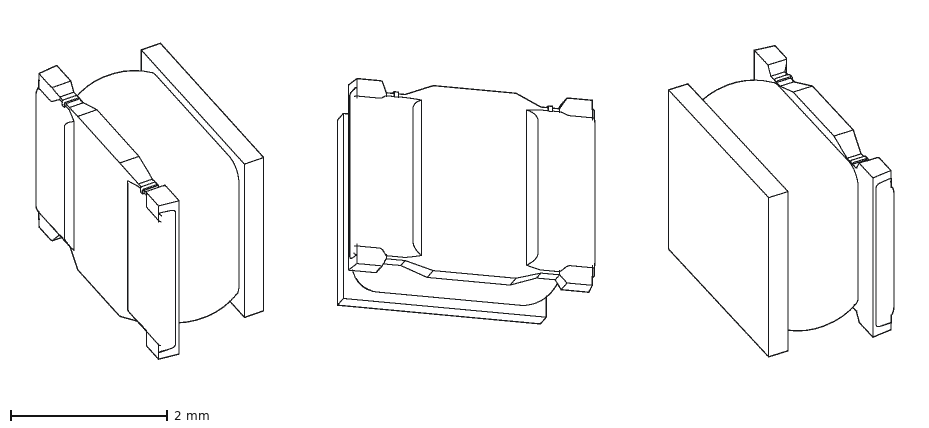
import cadquery as cq
import math

length = 3.2
height = 2.5
core_depth = 1.66
plate_thickness = 0.28
rear_width = 2.7

half_length = length / 2
half_height = height / 2
front_y = -core_depth / 2
front_inner_y = front_y + plate_thickness
rear_inner_y = core_depth / 2 - plate_thickness

winding_corner = 0.4
winding_bulge_radius = 1.098
half_gap = (rear_inner_y - front_inner_y) / 2

end_taper = 0.035
notch_outer_x = 1.23
floor_outer_x = 1.152
floor_inner_x = 0.902
strip_half_width = 0.55
notch_depth = 0.128
recess_depth = 0.077
recess_edge_radius = 0.1
notch_z = half_height - notch_depth
recess_y = front_y + recess_depth

foot_height = 0.04
foot_face_half_height = 0.89
foot_side_radius = 0.215
foot_face_inner_x = 0.832
foot_base_inner_x = 0.618
end_plate_half_height = 1.13
end_plate_rear_gap = 0.035
end_plate_corner_radius = 0.065
end_plate_depth = 0.065
terminal_edge_radius = 0.032
foot_y = front_y - foot_height

wire_width = 0.058
wire_thickness = 0.022
wire_x = 1.025
wire_end_z = 1.025


def make_rear_plate():
    plate = cq.Workplane("XY").box(rear_width, plate_thickness, height)
    return plate.translate((0, rear_inner_y + plate_thickness / 2, 0))


def barrel_edge(reach):
    """Half-width of the winding at the plates, where it is reach wide at mid depth."""
    return reach - winding_bulge_radius + math.sqrt(winding_bulge_radius**2 - half_gap**2)


def barrel_profile(plane, reach):
    """Section with two bulging sides; local X is half-width and local Y is depth."""
    edge = barrel_edge(reach)
    return (
        cq.Workplane(plane)
        .moveTo(-edge, -half_gap)
        .lineTo(edge, -half_gap)
        .threePointArc((reach, 0), (edge, half_gap))
        .lineTo(-edge, half_gap)
        .threePointArc((-reach, 0), (-edge, -half_gap))
        .close()
    )


def make_winding():
    straight_x = rear_width / 2 - winding_corner
    straight_z = half_height - winding_corner
    depth_plane = cq.Plane(origin=(0, 0, 0), xDir=(0, 0, 1), normal=(-1, 0, 0))
    winding = barrel_profile("XY", rear_width / 2).extrude(straight_z, both=True)
    winding = winding.union(barrel_profile(depth_plane, half_height).extrude(straight_x, both=True))
    edge = barrel_edge(winding_corner)
    corner = (
        cq.Workplane("XY")
        .moveTo(0, -half_gap)
        .lineTo(edge, -half_gap)
        .threePointArc((winding_corner, 0), (edge, half_gap))
        .lineTo(0, half_gap)
        .close()
        .revolve(90, (0, 0), (0, 1))
        .translate((straight_x, 0, -straight_z))
    )
    upper_corner = corner.mirror("XY")
    for quarter in (corner, upper_corner, corner.mirror("YZ"), upper_corner.mirror("YZ")):
        winding = winding.union(quarter)
    return winding


def make_front_plate():
    plate = (
        cq.Workplane("XY")
        .polyline([
            (-half_length, front_inner_y),
            (half_length, front_inner_y),
            (half_length - end_taper, front_y),
            (-half_length + end_taper, front_y),
        ])
        .close()
        .extrude(half_height, both=True)
    )
    for side in (-1, 1):
        recess = (
            cq.Workplane("XY")
            .polyline([
                (side * notch_outer_x, front_y),
                (side * floor_outer_x, recess_y),
                (side * floor_inner_x, recess_y),
                (side * strip_half_width, front_y),
            ])
            .close()
            .extrude(half_height, both=True)
        )
        plate = plate.cut(recess)
        recess_edge = cq.selectors.NearestToPointSelector((side * notch_outer_x, front_y, 0))
        plate = plate.edges(recess_edge).fillet(recess_edge_radius)
        for end in (-1, 1):
            notch = (
                cq.Workplane("XZ", origin=(0, front_inner_y, 0))
                .polyline([
                    (side * notch_outer_x, end * half_height),
                    (side * floor_outer_x, end * notch_z),
                    (side * floor_inner_x, end * notch_z),
                    (side * strip_half_width, end * half_height),
                ])
                .close()
                .extrude(plate_thickness)
            )
            plate = plate.cut(notch)
    return plate


def make_left_terminal(front_plate):
    arc_y = foot_y + foot_side_radius
    base_half = foot_face_half_height + math.sqrt(foot_side_radius**2 - (arc_y - recess_y) ** 2)
    arc_angle = math.asin((base_half - foot_face_half_height) / foot_side_radius) / 2
    mid_half = foot_face_half_height + foot_side_radius * math.sin(arc_angle)
    mid_y = arc_y - foot_side_radius * math.cos(arc_angle)
    foot = (
        cq.Workplane("YZ", origin=(-half_length, 0, 0))
        .moveTo(recess_y, -base_half)
        .threePointArc((mid_y, -mid_half), (foot_y, -foot_face_half_height))
        .lineTo(foot_y, foot_face_half_height)
        .threePointArc((mid_y, mid_half), (recess_y, base_half))
        .close()
        .extrude(half_length - foot_base_inner_x)
    )
    inner_end = (
        cq.Workplane("XY")
        .polyline([
            (-foot_face_inner_x, foot_y),
            (-foot_base_inner_x, foot_y),
            (-foot_base_inner_x, recess_y),
        ])
        .close()
        .extrude(half_height, both=True)
    )
    foot = foot.cut(inner_end)

    end_plate_rear = front_inner_y - end_plate_rear_gap
    end_plate = (
        cq.Workplane("XY")
        .box(end_plate_depth, end_plate_rear - front_y, 2 * end_plate_half_height, centered=(False, False, True))
        .translate((-half_length, front_y, 0))
        .edges("|X and >Y")
        .fillet(end_plate_corner_radius)
    )
    terminal = foot.union(end_plate).faces("<X").edges().fillet(terminal_edge_radius)
    return terminal.cut(front_plate)


def make_left_wire(terminal):
    wire = (
        cq.Workplane("YZ", origin=(-wire_x - wire_width / 2, 0, 0))
        .moveTo(front_inner_y, notch_z)
        .radiusArc((front_inner_y - wire_thickness, notch_z + wire_thickness), -wire_thickness)
        .lineTo(recess_y, notch_z + wire_thickness)
        .radiusArc((recess_y - wire_thickness, notch_z), -wire_thickness)
        .lineTo(recess_y - wire_thickness, wire_end_z)
        .lineTo(recess_y, wire_end_z)
        .lineTo(recess_y, notch_z)
        .close()
        .extrude(wire_width)
    )
    return wire.cut(terminal)


rear_plate = make_rear_plate()
winding = make_winding()
front_plate = make_front_plate()
left_terminal = make_left_terminal(front_plate)
left_wire = make_left_wire(left_terminal)
terminals = [left_terminal, left_terminal.mirror("YZ")]
wires = [left_wire, left_wire.mirror("YZ")]

bodies = [rear_plate, winding, front_plate, *terminals, *wires]
result = cq.Compound.makeCompound([body.val() for body in bodies])